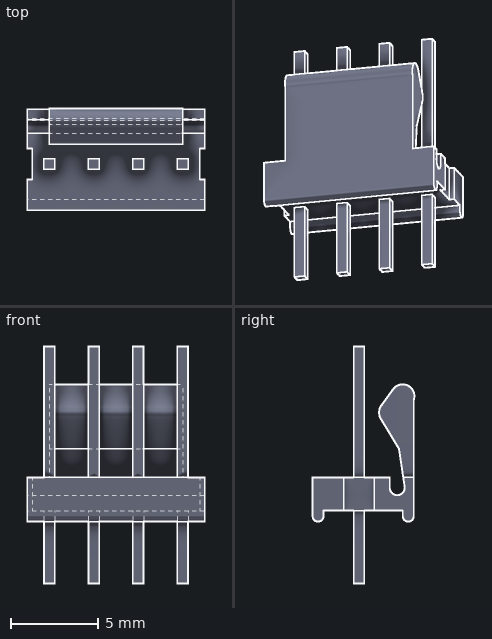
import cadquery as cq
import math

pin_count = 4
pitch = 2.54
pin_width = 0.63
pin_length = 13.59

base_width = pin_count * pitch
base_height = 1.9
back_y = 3.14
front_y = -2.66
foot_width = 0.64
foot_height = 0.64
foot_tip_z = 3.55
base_bottom = foot_tip_z + foot_height
base_top = base_bottom + base_height

notch_length = 1.77
notch_depth = 0.29

groove_radius = 0.42
groove_center = (back_y - 0.95, base_top - 0.6)
groove_front_y = groove_center[0] - groove_radius

ramp_width = (pin_count - 1) * pitch
elbow = (back_y - 0.85, base_top + 1.63)
tip_radius = 0.68
tip_center = (back_y - 0.64, base_top + 4.65)
nose_radius = 0.68
nose_center = (back_y - 1.32, base_top + 3.71)


def on_circle(center, radius, angle):
    return (center[0] + radius * math.cos(angle), center[1] + radius * math.sin(angle))


def tangent_angle(start, center, start_radius, radius):
    """Angle of the normal at the left-hand outer tangent of two circles (radius 0 is a point)."""
    dy = center[0] - start[0]
    dz = center[1] - start[1]
    offset = math.acos((start_radius - radius) / math.hypot(dy, dz))
    return math.atan2(dz, dy) + offset


def extrude_along_x(profile, width):
    return profile.extrude(width / 2, both=True)


def make_base():
    foot_radius = foot_width / 2
    foot_arc_z = foot_tip_z + foot_radius
    profile = (
        cq.Workplane("YZ")
        .moveTo(front_y, base_top)
        .lineTo(front_y, foot_arc_z)
        .threePointArc((front_y + foot_radius, foot_tip_z), (front_y + foot_width, foot_arc_z))
        .lineTo(front_y + foot_width, base_bottom)
        .lineTo(back_y - foot_width, base_bottom)
        .lineTo(back_y - foot_width, foot_arc_z)
        .threePointArc((back_y - foot_radius, foot_tip_z), (back_y, foot_arc_z))
        .lineTo(back_y, base_top)
        .close()
    )
    base = extrude_along_x(profile, base_width)
    for side in (-1, 1):
        notch = cq.Workplane("XY").box(2 * notch_depth, notch_length, pin_length)
        base = base.cut(notch.translate((side * base_width / 2, 0, pin_length / 2)))
    return base


def make_groove():
    wall_angle = tangent_angle(elbow, groove_center, 0, groove_radius)
    profile = (
        cq.Workplane("YZ")
        .moveTo(*elbow)
        .lineTo(*on_circle(groove_center, groove_radius, wall_angle))
        .threePointArc(
            on_circle(groove_center, groove_radius, -math.pi / 2),
            (groove_front_y, groove_center[1]),
        )
        .lineTo(groove_front_y, elbow[1])
        .close()
    )
    return extrude_along_x(profile, base_width)


def make_ramp():
    under_angle = tangent_angle(elbow, nose_center, 0, nose_radius)
    slope_angle = tangent_angle(nose_center, tip_center, nose_radius, tip_radius)
    back_angle = -math.acos((back_y - tip_center[0]) / tip_radius)
    profile = (
        cq.Workplane("YZ")
        .moveTo(back_y, base_bottom)
        .lineTo(*on_circle(tip_center, tip_radius, back_angle))
        .threePointArc(
            on_circle(tip_center, tip_radius, math.pi / 2),
            on_circle(tip_center, tip_radius, slope_angle),
        )
        .lineTo(*on_circle(nose_center, nose_radius, slope_angle))
        .threePointArc(
            on_circle(nose_center, nose_radius, math.pi),
            on_circle(nose_center, nose_radius, under_angle),
        )
        .lineTo(*elbow)
        .lineTo(elbow[0], base_bottom)
        .close()
    )
    return extrude_along_x(profile, ramp_width)


def make_pins():
    first_x = -(pin_count - 1) * pitch / 2
    positions = [(first_x + index * pitch, 0) for index in range(pin_count)]
    return cq.Workplane("XY").pushPoints(positions).rect(pin_width, pin_width).extrude(pin_length)


result = make_base().union(make_ramp()).cut(make_groove()).union(make_pins())